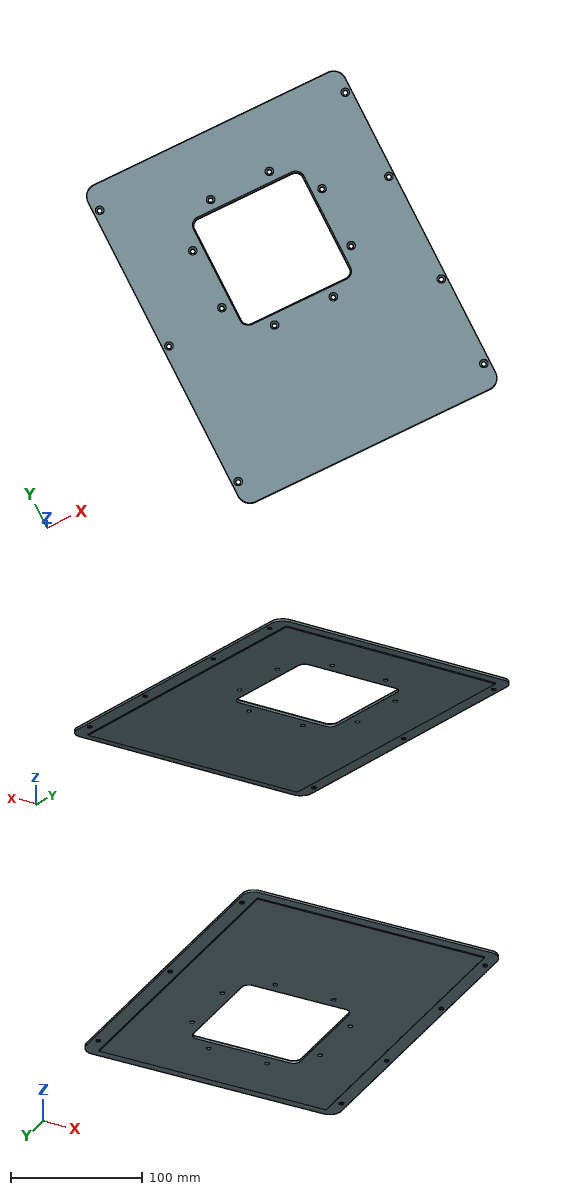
import cadquery as cq

plate_width = 219.0
plate_length = 278.0
plate_thickness = 2.0
plate_corner_radius = 10.0

pad_side_inset = 12.0
pad_end_inset = 8.0
pad_width = plate_width - 2 * pad_side_inset
pad_length = plate_length - 2 * pad_end_inset
pad_thickness = 1.0

total_thickness = plate_thickness + pad_thickness

window_size = 92.0
window_corner_radius = 6.0
window_chamfer = 1.0
window_center_y = 34.0
rim_search_margin = 0.1

screw_hole_diameter = 3.5
countersink_diameter = 6.5
countersink_angle = 90.0

window_screw_offset = 55.0
window_screw_spacing = 50.0

edge_screw_x = 104.5
edge_screw_end_y = 119.0
right_middle_screw_x = 105.0
right_middle_screw_y = 45.0


def slab(width, length, thickness):
    """Flat rectangular slab centred on the Z axis, with its bottom face at Z = 0."""
    return cq.Workplane("XY").rect(width, length).extrude(thickness)


def make_body():
    """Rounded plate sitting on the smaller sharp-cornered pad."""
    pad = slab(pad_width, pad_length, pad_thickness)
    plate = slab(plate_width, plate_length, plate_thickness).edges("|Z").fillet(plate_corner_radius)
    return plate.translate((0, 0, pad_thickness)).union(pad)


def cut_window(body):
    """Cut the rounded square window and chamfer its rim on the top face."""
    opening = slab(window_size, window_size, total_thickness).edges("|Z").fillet(window_corner_radius)
    body = body.cut(opening.translate((0, window_center_y, 0)))
    reach = window_size / 2 + rim_search_margin
    rim_region = cq.selectors.BoxSelector(
        (-reach, window_center_y - reach, total_thickness - rim_search_margin),
        (reach, window_center_y + reach, total_thickness + rim_search_margin),
    )
    return body.edges(rim_region).chamfer(window_chamfer)


def window_screw_points():
    """Screw positions in pairs along the four sides of the window."""
    half_spacing = window_screw_spacing / 2
    points = []
    for side in (-1, 1):
        for end in (-1, 1):
            across = side * window_screw_offset
            along = end * half_spacing
            points.append((across, window_center_y + along))
            points.append((along, window_center_y + across))
    return points


def edge_screw_points():
    """Three screw positions on the left edge and four on the right edge."""
    left = [(-edge_screw_x, y) for y in (-edge_screw_end_y, 0, edge_screw_end_y)]
    right_ends = [(edge_screw_x, y) for y in (-edge_screw_end_y, edge_screw_end_y)]
    right_middle = [(right_middle_screw_x, y) for y in (-right_middle_screw_y, right_middle_screw_y)]
    return left + right_ends + right_middle


def drill_screw_holes(body):
    """Through holes countersunk from the top face."""
    top_face = body.faces(">Z").workplane(origin=(0, 0, total_thickness))
    screws = top_face.pushPoints(window_screw_points() + edge_screw_points())
    return screws.cskHole(screw_hole_diameter, countersink_diameter, countersink_angle)


result = drill_screw_holes(cut_window(make_body()))